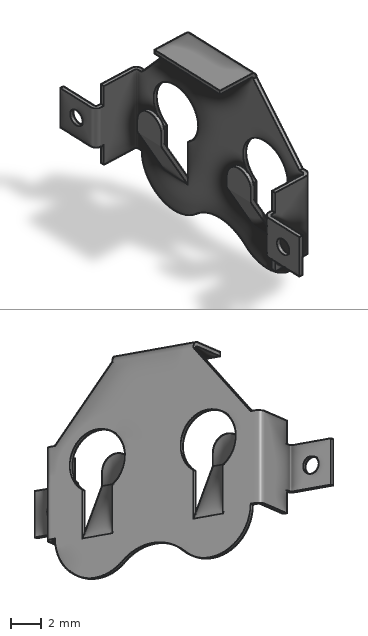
import cadquery as cq
import math

length = 23.22
depth = 3.97
height = 15.1
sheet = 0.3
bend_outer = 0.49
bend_inner = bend_outer - sheet

shoulder_x = 7.66
lobe_radius = 3.18
lobe_x = shoulder_x - lobe_radius
valley_top = 1.7

wing_outer_x = 8.45
wing_height = 6.36
wing_bottom = lobe_radius
wing_top = wing_bottom + wing_height
wing_depth = 3.23
tab_height = wing_height / 2
tab_z = (wing_bottom + wing_top) / 2
tab_hole_x = 10.03
tab_hole_diameter = 1.2

flange_width = 6.36
flange_depth = 3.3
flange_bend_z = height - bend_outer

tongue_x = 4.35
keyhole_radius = 2.15
keyhole_z = 8.0
tongue_width = 2.32
tongue_root_z = 2.76
tongue_knee_z = 6.95
tongue_top_z = 9.1
tongue_reach = 2.67
knee_radius = 0.3


def make_plate():
    """Flat plate with sloping shoulders, two round lobes and a valley tangent to both."""
    rise = lobe_radius - valley_top
    valley_radius = (lobe_x**2 + rise**2 - lobe_radius**2) / (2 * (lobe_radius - rise))
    valley_z = valley_top - valley_radius
    share = valley_radius / (valley_radius + lobe_radius)
    join_x = share * lobe_x
    join_z = valley_z + share * (lobe_radius - valley_z)
    return (
        cq.Workplane("XZ")
        .moveTo(-flange_width / 2, flange_bend_z)
        .lineTo(flange_width / 2, flange_bend_z)
        .lineTo(shoulder_x, wing_top)
        .lineTo(shoulder_x, lobe_radius)
        .threePointArc((lobe_x, 0), (join_x, join_z))
        .threePointArc((0, valley_top), (-join_x, join_z))
        .threePointArc((-lobe_x, 0), (-shoulder_x, lobe_radius))
        .lineTo(-shoulder_x, wing_top)
        .close()
        .extrude(sheet)
    )


def make_flange():
    """Flange bent forward from the top edge of the plate."""
    return (
        cq.Workplane("YZ")
        .moveTo(0, flange_bend_z)
        .radiusArc((-bend_outer, height), -bend_outer)
        .lineTo(-flange_depth, height)
        .lineTo(-flange_depth, height - sheet)
        .lineTo(-bend_outer, height - sheet)
        .radiusArc((-sheet, flange_bend_z), bend_inner)
        .close()
        .extrude(flange_width / 2, both=True)
    )


def make_wing():
    """Right-hand wing: bent forward from the plate, with a narrower tab bent outward."""
    inner_x = wing_outer_x - sheet
    bend_x = wing_outer_x - bend_outer
    wall = (
        cq.Workplane("XY")
        .workplane(offset=wing_bottom)
        .moveTo(shoulder_x, 0)
        .lineTo(bend_x, 0)
        .radiusArc((wing_outer_x, -bend_outer), bend_outer)
        .lineTo(wing_outer_x, -wing_depth)
        .lineTo(inner_x, -wing_depth)
        .lineTo(inner_x, -bend_outer)
        .radiusArc((bend_x, -sheet), -bend_inner)
        .lineTo(shoulder_x, -sheet)
        .close()
        .extrude(wing_height)
    )
    tab_bend_x = wing_outer_x + bend_inner
    tab_bend_y = -depth + bend_outer
    tab = (
        cq.Workplane("XY")
        .workplane(offset=tab_z - tab_height / 2)
        .moveTo(inner_x, -wing_depth)
        .lineTo(wing_outer_x, -wing_depth)
        .lineTo(wing_outer_x, tab_bend_y)
        .radiusArc((tab_bend_x, -depth + sheet), -bend_inner)
        .lineTo(length / 2, -depth + sheet)
        .lineTo(length / 2, -depth)
        .lineTo(tab_bend_x, -depth)
        .radiusArc((inner_x, tab_bend_y), bend_outer)
        .close()
        .extrude(tab_height)
    )
    hole = (
        cq.Workplane("XZ")
        .center(tab_hole_x, tab_z)
        .circle(tab_hole_diameter / 2)
        .extrude(depth)
    )
    return wall.union(tab).cut(hole)


def make_keyhole(x):
    """Round opening with a slot running down to the root of the tongue."""
    opening = cq.Workplane("XZ").center(x, keyhole_z).circle(keyhole_radius).extrude(sheet)
    slot_height = keyhole_z - tongue_root_z
    slot = (
        cq.Workplane("XZ")
        .center(x, tongue_root_z + slot_height / 2)
        .rect(tongue_width, slot_height)
        .extrude(sheet)
    )
    return opening.union(slot)


def make_tongue(x):
    """Spring tongue: slopes forward from its root, then turns upright with a rounded tip."""
    run = tongue_reach - sheet
    climb = tongue_knee_z - tongue_root_z
    slope_angle = math.atan2(run, climb)
    back_knee_z = tongue_knee_z + sheet * math.tan(slope_angle / 2)
    back_root_z = back_knee_z - run / math.tan(slope_angle)
    profile = (
        cq.Workplane("YZ")
        .workplane(offset=x)
        .polyline([
            (0, tongue_root_z),
            (-sheet, tongue_root_z),
            (-tongue_reach, tongue_knee_z),
            (-tongue_reach, tongue_top_z),
            (-tongue_reach + sheet, tongue_top_z),
            (-tongue_reach + sheet, back_knee_z),
            (0, back_root_z),
        ])
        .close()
        .extrude(tongue_width / 2, both=True)
    )
    knee = cq.selectors.NearestToPointSelector((x, -tongue_reach, tongue_knee_z))
    profile = profile.edges(knee).fillet(knee_radius)
    tip_z = tongue_top_z - tongue_width / 2
    outline = (
        cq.Workplane("XZ")
        .moveTo(x - tongue_width / 2, tongue_root_z)
        .lineTo(x + tongue_width / 2, tongue_root_z)
        .lineTo(x + tongue_width / 2, tip_z)
        .threePointArc((x, tongue_top_z), (x - tongue_width / 2, tip_z))
        .close()
        .extrude(tongue_reach)
    )
    return profile.intersect(outline)


result = make_plate().union(make_flange())
right_wing = make_wing()
result = result.union(right_wing).union(right_wing.mirror("YZ"))
for side in (-1, 1):
    result = result.cut(make_keyhole(side * tongue_x))
    result = result.union(make_tongue(side * tongue_x))